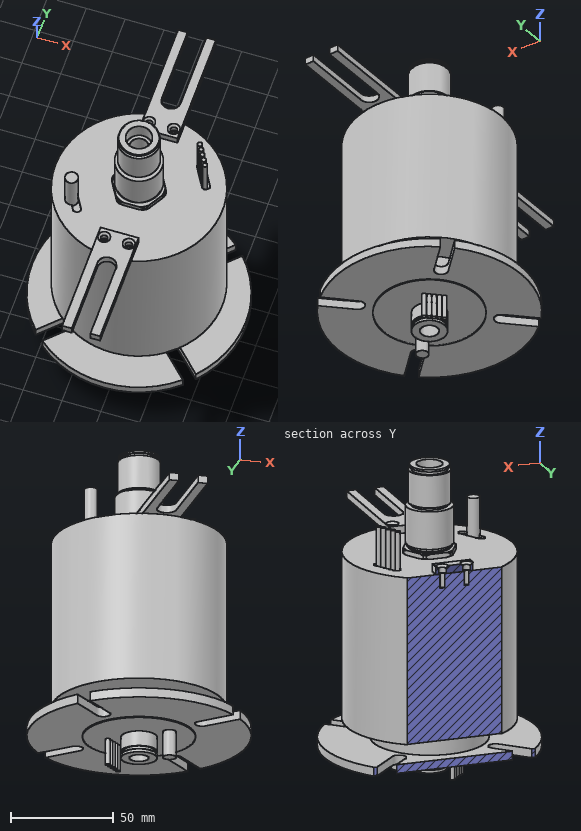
import cadquery as cq
import math

FLANGE_TOP = 4.7
HUB_TOP = 12.7
HOUSING_BOTTOM = 14.3
HOUSING_TOP = 100.3
NUT_TOP = 102.8
NECK_RIDGE_HEIGHT = 103.7
LOWER_COLLAR_BOTTOM = 105.0
LOWER_COLLAR_TOP = 124.3
GROOVE_TAPER_BOTTOM = 125.3
UPPER_COLLAR_BOTTOM = 125.8
UPPER_COLLAR_TOP = 142.6
LIP_BOTTOM = 144.3
SHAFT_TOP = 145.3
PILOT_BOTTOM = -0.5
STUB_BOTTOM = -8.1
STUB_LIP_TOP = -9.8
SHAFT_BOTTOM = -11.4

FLANGE_RADIUS = 109.9 / 2
HUB_RADIUS = 29.1
HUB_NECK_RADIUS = 22.0
HOUSING_RADIUS = 86.0 / 2
COLLAR_NECK_RADIUS = 10.5
NECK_RIDGE_RADIUS = 11.2
LOWER_COLLAR_RADIUS = 12.0
UPPER_COLLAR_RADIUS = 10.5
GROOVE_RADIUS = 9.0
GROOVE_TAPER_RADIUS = 9.8
LIP_RADIUS = 10.0
PILOT_RADIUS = 27.7
STUB_RADIUS = 8.9
STUB_GROOVE_RADIUS = 8.1

NUT_FLAT_DISTANCE = 12.3
NUT_CORNER_RADIUS = 13.8
NUT_BEVEL_RADIUS = 13.0
NUT_BEVEL_HEIGHT = 0.5

BORE_RADIUS = 4.7
SOCKET_RADIUS = 6.5
SOCKET_DEPTH = 8.1

FLANGE_SLOT_COUNT = 4
FLANGE_SLOT_WIDTH = 7.0
FLANGE_SLOT_CENTER = 35.5
FIRST_FLANGE_SLOT_ANGLE = 45

LID_SLOT_DISTANCE = 32.2
LID_SLOT_ANGLE = 30
LID_SLOT_LENGTH = 16.0
LID_SLOT_WIDTH = 4.0
LID_SLOT_DEPTH = 1.0
CABLE_RADIUS = 3.3
WIRE_RADIUS = 1.18
WIRE_COUNT = 5
TOP_CABLE_DISTANCE = 33.7
TOP_WIRE_DISTANCE = 31.7
TOP_WIRE_PITCH = 3.0
TOP_CABLE_END = 119.8
BOTTOM_CABLE_DISTANCE = 16.7
BOTTOM_CABLE_ANGLE = -42
BOTTOM_WIRE_DISTANCE = 14.7
BOTTOM_WIRE_ANGLE = 135
BOTTOM_WIRE_PITCH = 2.5
BOTTOM_CABLE_END = -13.8

FORK_OUTER_END = 90.5
FORK_INNER_END = 30.4
FORK_WIDTH = 19.5
FORK_THICKNESS = 4.0
FORK_SLOT_WIDTH = 9.6
FORK_SLOT_END = 45.6
SCREW_SPACING = 12.7
SCREW_DISTANCE = 35.1
CLEARANCE_RADIUS = 1.8
COUNTERSINK_RADIUS = 3.0
COUNTERSINK_ANGLE = 90
THREAD_RADIUS = 1.0
THREAD_DEPTH = 7.2


def cylinder(radius, bottom, top, x=0, y=0):
    return cq.Workplane("XY", origin=(x, y, bottom)).circle(radius).extrude(top - bottom)


def polar(distance, angle, sideways=0):
    """Point at a distance along a direction, then moved sideways to its left."""
    turn = math.radians(angle)
    x = distance * math.cos(turn) - sideways * math.sin(turn)
    y = distance * math.sin(turn) + sideways * math.cos(turn)
    return x, y


def turned_body():
    steps = [
        (STUB_RADIUS, SHAFT_BOTTOM, STUB_LIP_TOP),
        (STUB_GROOVE_RADIUS, STUB_LIP_TOP, STUB_BOTTOM),
        (STUB_RADIUS, STUB_BOTTOM, PILOT_BOTTOM),
        (PILOT_RADIUS, PILOT_BOTTOM, 0),
        (FLANGE_RADIUS, 0, FLANGE_TOP),
        (HUB_RADIUS, FLANGE_TOP, HUB_TOP),
        (HUB_NECK_RADIUS, HUB_TOP, HOUSING_BOTTOM),
        (HOUSING_RADIUS, HOUSING_BOTTOM, HOUSING_TOP),
        (COLLAR_NECK_RADIUS, HOUSING_TOP, NUT_TOP),
        (NECK_RIDGE_RADIUS, NECK_RIDGE_HEIGHT, NECK_RIDGE_HEIGHT),
        (COLLAR_NECK_RADIUS, LOWER_COLLAR_BOTTOM, LOWER_COLLAR_BOTTOM),
        (LOWER_COLLAR_RADIUS, LOWER_COLLAR_BOTTOM, LOWER_COLLAR_TOP),
        (GROOVE_RADIUS, LOWER_COLLAR_TOP, GROOVE_TAPER_BOTTOM),
        (GROOVE_TAPER_RADIUS, UPPER_COLLAR_BOTTOM, UPPER_COLLAR_BOTTOM),
        (UPPER_COLLAR_RADIUS, UPPER_COLLAR_BOTTOM, UPPER_COLLAR_TOP),
        (GROOVE_RADIUS, UPPER_COLLAR_TOP, LIP_BOTTOM),
        (LIP_RADIUS, LIP_BOTTOM, SHAFT_TOP),
    ]
    outline = [(0, SHAFT_BOTTOM)]
    for radius, bottom, top in steps:
        outline.append((-radius, bottom))
        if top > bottom:
            outline.append((-radius, top))
    outline.append((0, SHAFT_TOP))
    return cq.Workplane("XZ").polyline(outline).close().revolve(360, (0, 0, 0), (0, 1, 0))


def nut():
    hexagon = (
        cq.Workplane("XY", origin=(0, 0, HOUSING_TOP))
        .polygon(6, 2 * NUT_FLAT_DISTANCE / math.cos(math.radians(30)))
        .extrude(NUT_TOP - HOUSING_TOP)
    )
    rounding = (
        cylinder(NUT_CORNER_RADIUS, HOUSING_TOP, NUT_TOP)
        .edges()
        .chamfer(NUT_BEVEL_HEIGHT, NUT_CORNER_RADIUS - NUT_BEVEL_RADIUS)
    )
    return hexagon.intersect(rounding)


def bore():
    socket = cylinder(SOCKET_RADIUS, SHAFT_TOP - SOCKET_DEPTH, SHAFT_TOP)
    return cylinder(BORE_RADIUS, SHAFT_BOTTOM, SHAFT_TOP).union(socket)


def flange_slots():
    slot = (
        cq.Workplane("XY")
        .center(FLANGE_SLOT_CENTER + FLANGE_RADIUS / 2, 0)
        .rect(FLANGE_RADIUS, FLANGE_SLOT_WIDTH)
        .extrude(FLANGE_TOP)
        .union(cylinder(FLANGE_SLOT_WIDTH / 2, 0, FLANGE_TOP, FLANGE_SLOT_CENTER))
    )
    slots = cq.Workplane("XY")
    for i in range(FLANGE_SLOT_COUNT):
        angle = FIRST_FLANGE_SLOT_ANGLE + i * 360 / FLANGE_SLOT_COUNT
        slots = slots.add(slot.rotate((0, 0, 0), (0, 0, 1), angle))
    return slots.combine()


def lid_slots():
    return (
        cq.Workplane("XY", origin=(0, 0, HOUSING_TOP - LID_SLOT_DEPTH))
        .transformed(rotate=(0, 0, LID_SLOT_ANGLE))
        .pushPoints([(LID_SLOT_DISTANCE, 0), (-LID_SLOT_DISTANCE, 0)])
        .slot2D(LID_SLOT_LENGTH, LID_SLOT_WIDTH, 90)
        .extrude(LID_SLOT_DEPTH)
    )


def wire_row(distance, angle, pitch, bottom, top):
    row = cq.Workplane("XY")
    for i in range(WIRE_COUNT):
        sideways = (i - (WIRE_COUNT - 1) / 2) * pitch
        row = row.add(cylinder(WIRE_RADIUS, bottom, top, *polar(distance, angle, sideways)))
    return row.combine()


def screw_places(side):
    return [(x, side * SCREW_DISTANCE) for x in (-SCREW_SPACING / 2, SCREW_SPACING / 2)]


def threaded_holes():
    return (
        cq.Workplane("XY", origin=(0, 0, HOUSING_TOP))
        .pushPoints(screw_places(-1) + screw_places(1))
        .circle(THREAD_RADIUS)
        .extrude(-THREAD_DEPTH)
    )


def slip_ring():
    body = turned_body().union(nut()).cut(bore()).cut(flange_slots()).cut(lid_slots())

    slot_floor = HOUSING_TOP - LID_SLOT_DEPTH
    top_cable_place = polar(-TOP_CABLE_DISTANCE, LID_SLOT_ANGLE)
    bottom_cable_place = polar(BOTTOM_CABLE_DISTANCE, BOTTOM_CABLE_ANGLE)
    leads = [
        cylinder(CABLE_RADIUS, slot_floor, TOP_CABLE_END, *top_cable_place),
        wire_row(TOP_WIRE_DISTANCE, LID_SLOT_ANGLE, TOP_WIRE_PITCH, slot_floor, TOP_CABLE_END),
        cylinder(CABLE_RADIUS, BOTTOM_CABLE_END, PILOT_BOTTOM, *bottom_cable_place),
        wire_row(
            BOTTOM_WIRE_DISTANCE, BOTTOM_WIRE_ANGLE, BOTTOM_WIRE_PITCH, BOTTOM_CABLE_END, PILOT_BOTTOM
        ),
    ]
    for lead in leads:
        body = body.union(lead)
    return body.cut(threaded_holes())


def fork(side):
    slot_center = FORK_SLOT_END + FORK_SLOT_WIDTH / 2
    half_width = FORK_WIDTH / 2
    half_slot = FORK_SLOT_WIDTH / 2
    return (
        cq.Workplane("XY", origin=(0, 0, HOUSING_TOP))
        .moveTo(-half_width, side * FORK_INNER_END)
        .lineTo(half_width, side * FORK_INNER_END)
        .lineTo(half_width, side * FORK_OUTER_END)
        .lineTo(half_slot, side * FORK_OUTER_END)
        .lineTo(half_slot, side * slot_center)
        .threePointArc((0, side * FORK_SLOT_END), (-half_slot, side * slot_center))
        .lineTo(-half_slot, side * FORK_OUTER_END)
        .lineTo(-half_width, side * FORK_OUTER_END)
        .close()
        .extrude(FORK_THICKNESS)
        .faces(">Z")
        .workplane(origin=(0, 0, HOUSING_TOP))
        .pushPoints(screw_places(side))
        .cskHole(2 * CLEARANCE_RADIUS, 2 * COUNTERSINK_RADIUS, COUNTERSINK_ANGLE)
    )


slip_ring_body = slip_ring()
forks = [fork(side) for side in (-1, 1)]

result = cq.Compound.makeCompound([slip_ring_body.val(), *[item.val() for item in forks]])